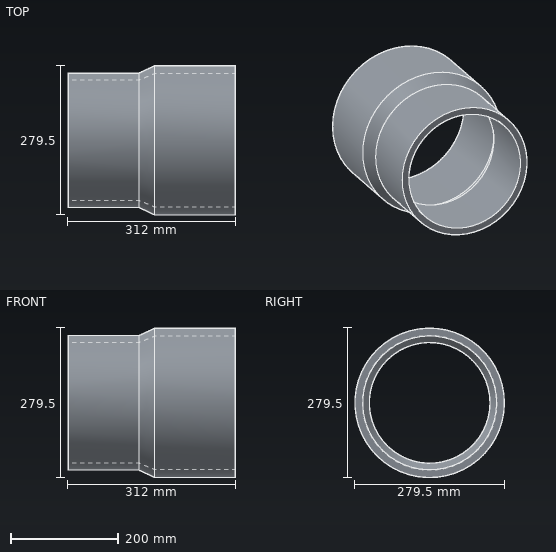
import cadquery as cq

total_length = 312.0
spigot_length = 132.0
cone_length = 29.5
cone_end = spigot_length + cone_length

spigot_outer_radius = 251.8 / 2
spigot_bore_radius = 225.0 / 2
socket_outer_radius = 279.5 / 2
socket_bore_radius = 250.0 / 2


def stepped_body(small_radius, large_radius):
    """Solid of revolution about X: small cylinder, cone, large cylinder."""
    profile = [
        (0, 0),
        (0, small_radius),
        (spigot_length, small_radius),
        (cone_end, large_radius),
        (total_length, large_radius),
        (total_length, 0),
    ]
    return cq.Workplane("XY").polyline(profile).close().revolve(360, (0, 0, 0), (1, 0, 0))


outer_body = stepped_body(spigot_outer_radius, socket_outer_radius)
bore = stepped_body(spigot_bore_radius, socket_bore_radius)

result = outer_body.cut(bore)